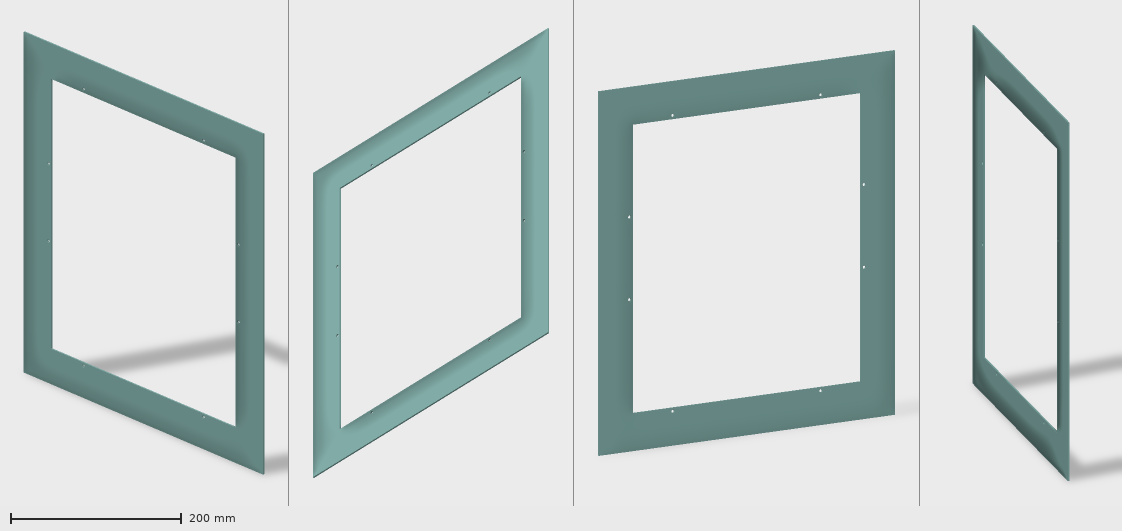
import cadquery as cq

width = 400.0
height = 440.0
thickness = 2.0
border = 45.8

hole_diameter = 4.0
hole_edge_gap = 4.5
top_hole_spacing = 200.0
side_hole_spacing = 100.0
side_hole_rise = 13.0

opening_width = width - 2 * border
opening_height = height - 2 * border


def plate(size_x, size_z):
    """Rectangular plate centred on the origin."""
    return cq.Workplane("XY").box(size_x, thickness, size_z)


def hole_cutters():
    """Pins for the pairs of holes beside each edge of the opening."""
    side_x = opening_width / 2 + hole_edge_gap
    top_z = opening_height / 2 + hole_edge_gap
    centres = []
    for sign_x in (-1, 1):
        for sign_z in (-1, 1):
            centres.append((sign_x * top_hole_spacing / 2, sign_z * top_z))
            centres.append((sign_x * side_x, side_hole_rise + sign_z * side_hole_spacing / 2))
    return (
        cq.Workplane("XZ")
        .pushPoints(centres)
        .circle(hole_diameter / 2)
        .extrude(thickness, both=True)
    )


frame = plate(width, height).cut(plate(opening_width, opening_height))
result = frame.cut(hole_cutters())